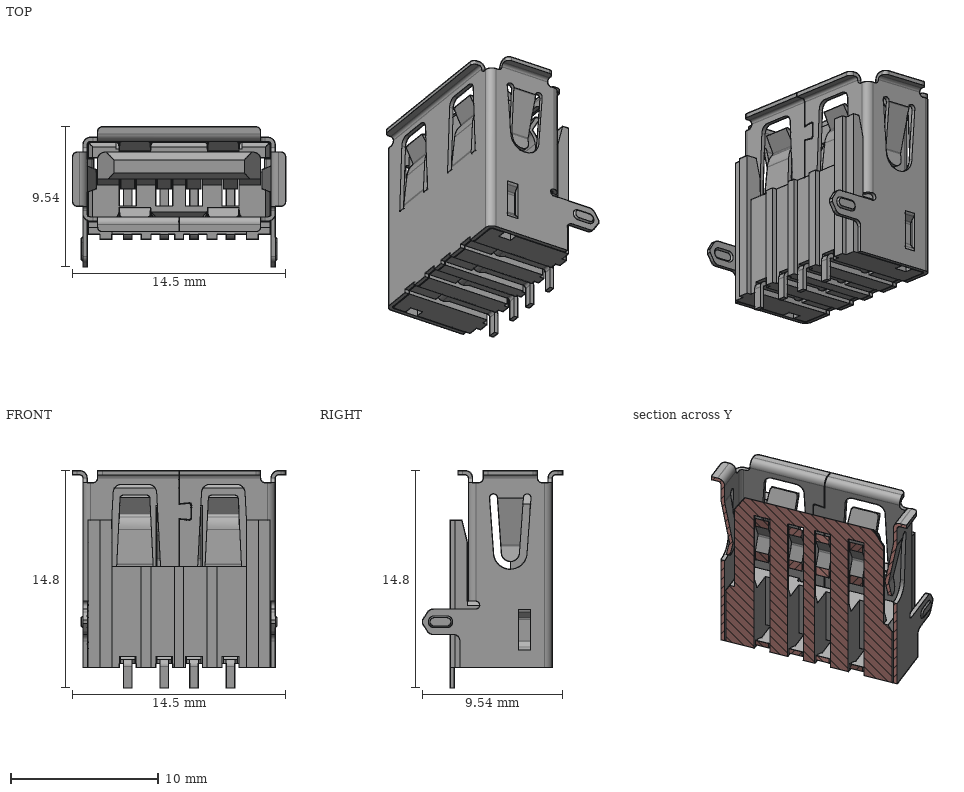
import cadquery as cq


SHEET = 0.3
SHELL_HALF_X = 6.54
SHELL_HALF_Y = 2.85
CORNER_R = 0.52
INNER_HALF_X = SHELL_HALF_X - SHEET
INNER_HALF_Y = SHELL_HALF_Y - SHEET
TOP_Z = 13.4

RIM_Z = 12.58
BEND_R = 0.37
FLANGE_ROOT_R = 0.3
FLANGE_CORNER_R = 0.33
FLANGE_REACH = 0.71
LONG_FLANGE_WIDTH = 11.1
SHORT_FLANGE_WIDTH = 3.7

SPRING_X = 3.0
SPRING_WINDOW_Z = (6.81, 12.46)
SPRING_WINDOW_HALF = (1.75, 1.45)
SPRING_WINDOW_R = 0.59
SPRING_HALF = (1.26, 1.0)
SPRING_ROOT_Z = 7.02
SPRING_KNEE_Z = 9.81
SPRING_LEAN = 0.2
SPRING_CREST_Z = 10.43
SPRING_DEPTH = 0.68
SPRING_TIP_Z = 11.72
SPRING_TIP_R = 0.22
SPRING_BEND_R = (0.59, 1.48, 0.18)

FLAP_HANG_Z = 11.55
FLAP_CREST_Z = 8.29
FLAP_DEPTH = 0.62
FLAP_END_DEPTH = 0.33
FLAP_END_Z = 7.21
FLAP_HALF = (0.89, 0.62)
FLAP_GAP = 0.52
FLAP_BEND_R = (SHEET, SHEET)

LANCE_Y = 0.98
LANCE_WIDTH = 0.81
LANCE_Z = (1.2, 3.94)
LANCE_DEPTH = 0.45
LANCE_LAND = 0.06
LANCE_RAMP = 0.53
LANCE_BEND_R = (0.16, 0.37, 0.16, 0.16)

FRONT_WALL_Z = 4.51
LUG_Z = (2.23, 3.98)
LUG_TIP_Y = -5.98
LUG_TIP_HALF = 0.12
LUG_BEVEL_Y = -5.62
LUG_BEVEL_HALF = 0.68
LUG_SHOULDER_Y = -5.25
LUG_SHOULDER_R = 0.52
LUG_ROOT_R = 0.41
SIDE_FRONT_Y = -3.43
RELIEF_Y = -2.09
DIMPLE_Y = -4.75
DIMPLE_LENGTH = 1.66
DIMPLE_HEIGHT = 0.8
DIMPLE_DEPTH = 0.12
DIMPLE_TAPER = 45.0

SEAM_GAP = 0.05
SEAM_TAB_Z = 10.61
SEAM_TAB_LENGTH = 0.83
SEAM_TAB_R = 0.15
SEAM_TAB_HALF = (0.5, 0.59)

FIT_GAP = 0.06
BASE_HALF_X = INNER_HALF_X - FIT_GAP
BASE_BACK_Y = INNER_HALF_Y - FIT_GAP
FLOOR_Z = 4.74
FLOOR_CHAMFER = 0.31
FLOOR_CHAMFER_Z = 0.52
FRONT_BEVEL_HALF = (1.6, 1.88)
BACK_RELIEF_X = (1.91, 4.29)
BACK_RELIEF_DEPTH = 0.46

TONGUE_HALF_X = 5.55
TONGUE_BACK_Y = 1.84
TONGUE_TOP_Z = 12.8
TONGUE_CORNER_R = 0.52
TONGUE_FRONT_BEVEL = (0.41, 0.58)
TONGUE_BACK_BEVEL = (0.52, 0.77)
TONGUE_END_BEVEL = (1.11, 1.69)
TONGUE_FOOT = (0.38, 0.89)

PLATE_HALF_X = BASE_HALF_X
PLATE_Y = (-3.76, -2.92)
PLATE_TOP_Z = 6.88
TOWER_INNER_X = 4.57
TOWER_TOP_Z = 10.02
TOWER_SLOPE_Z = 8.5
TOWER_TOP_BACK_Y = -3.29
RIB_FRONT_Y = -4.1
RIB_SPANS = ((-2.59, -1.9), (-0.31, 0.31), (1.9, 2.59))
TOWER_RIB_OUTER_X = 5.39

LANCE_CHANNEL_WIDTH = 0.95

OUTER_PIN_X = 3.5
INNER_PIN_X = 1.0
PIN_X = (-OUTER_PIN_X, -INNER_PIN_X, INNER_PIN_X, OUTER_PIN_X)
PIN_THICK = 0.3
CONTACT_WIDTH = 0.98
LEG_WIDTH = 0.59
OVERALL_HEIGHT = 14.8
LEG_BOTTOM_Z = TOP_Z - OVERALL_HEIGHT
LEG_Y = RIB_FRONT_Y + PIN_THICK / 2
PIN_RUN_Z = 0.41
PIN_BEND_R = 0.35
BLADE_Y = 0.24
CONTACT_TIP_Z = 10.8
CONTACT_CREST_Y = -0.56
CONTACT_CREST_Z = 9.18
CONTACT_ROOT_Z = 7.4
NECK_Y = (-0.3, -0.59)
SLOT_WIDTH = 1.14
SLOT_FRONT_Y = -1.82
SLOT_BACK_Y = BLADE_Y + PIN_THICK / 2
SLOT_TOP_Z = 11.01
NOTCH_Z = 0.74
CLEARANCE_Z = PIN_RUN_Z - PIN_THICK / 2


def box(x, y, z):
    """Block given by its (low, high) limits along each axis."""
    size = [limits[1] - limits[0] for limits in (x, y, z)]
    return cq.Workplane("XY").box(*size, centered=False).translate((x[0], y[0], z[0]))


def prism_x(points, x):
    """Polygon of (y, z) points extruded between two X limits."""
    return cq.Workplane("YZ").polyline(points).close().extrude(x[1] - x[0]).translate((x[0], 0, 0))


def prism_y(points, y):
    """Polygon of (x, z) points extruded between two Y limits."""
    return cq.Workplane("XZ").polyline(points).close().extrude(y[0] - y[1]).translate((0, y[0], 0))


def bent_strip(points, width, thickness, radii):
    """Strip of sheet along a (y, z) centreline, centred on X = 0, with one radius for each bend."""
    path = cq.Wire.makePolygon([cq.Vector(0, y, z) for y, z in points])
    for bend in range(len(radii), 0, -1):
        path = path.fillet(radii[bend - 1], [path.Vertices()[bend]])
    start = cq.Plane(origin=path.startPoint(), xDir=(1, 0, 0), normal=path.tangentAt(0))
    return cq.Workplane(start).rect(width, thickness).sweep(cq.Workplane(path))


def mirrored_x(body):
    return body.union(body.mirror("YZ"))


def turn(body, angle):
    return body.rotate((0, 0, 0), (0, 0, 1), angle)



def tube():
    outer = cq.Workplane("XY").rect(2 * SHELL_HALF_X, 2 * SHELL_HALF_Y).extrude(RIM_Z)
    inner = cq.Workplane("XY").rect(2 * INNER_HALF_X, 2 * INNER_HALF_Y).extrude(RIM_Z)
    inner_r = CORNER_R - SHEET
    return outer.edges("|Z").fillet(CORNER_R).cut(inner.edges("|Z").fillet(inner_r))


def flange(width, wall_y):
    """Flange on the -Y wall: a riser with hollow root fillets, then an outward bend."""
    half = width / 2
    bend_z = RIM_Z + FLANGE_ROOT_R
    riser = (
        cq.Workplane("XZ", origin=(0, -wall_y + SHEET, 0))
        .moveTo(-half - FLANGE_ROOT_R, RIM_Z)
        .radiusArc((-half, bend_z), -FLANGE_ROOT_R)
        .lineTo(half, bend_z)
        .radiusArc((half + FLANGE_ROOT_R, RIM_Z), -FLANGE_ROOT_R)
        .close()
        .extrude(SHEET)
    )
    mid_y = -wall_y + SHEET / 2
    mid_z = TOP_Z - SHEET / 2
    centreline = [(mid_y, RIM_Z), (mid_y, mid_z), (-wall_y - FLANGE_REACH, mid_z)]
    lip = bent_strip(centreline, width, SHEET, [BEND_R])
    lip = lip.faces("<Y").edges("|Z").fillet(FLANGE_CORNER_R)
    return riser.union(lip)


def taper(half_widths, z_limits):
    """Symmetric trapezoid of (across, z) points from its bottom and top half widths."""
    bottom, top = half_widths
    low, high = z_limits
    return [(-bottom, low), (bottom, low), (top, high), (-top, high)]


def spring_window():
    opening = prism_y(taper(SPRING_WINDOW_HALF, SPRING_WINDOW_Z), (-SHELL_HALF_Y, -INNER_HALF_Y))
    return opening.edges("|Y and >Z").fillet(SPRING_WINDOW_R)


def spring():
    """Spring of the -Y wall: leans inward from its root, then turns back out at the tip."""
    wall_mid = -SHELL_HALF_Y + SHEET / 2
    root_z = SPRING_WINDOW_Z[0] - SHEET
    centreline = [
        (wall_mid, root_z),
        (wall_mid, SPRING_ROOT_Z),
        (wall_mid + SPRING_LEAN, SPRING_KNEE_Z),
        (wall_mid + SPRING_DEPTH, SPRING_CREST_Z),
        (wall_mid, SPRING_TIP_Z - SHEET / 4),
    ]
    strip = bent_strip(centreline, 2 * SPRING_HALF[0], SHEET, SPRING_BEND_R)
    outline = prism_y(taper(SPRING_HALF, (root_z, SPRING_TIP_Z)), (-SHELL_HALF_Y - SHEET, 0))
    return strip.intersect(outline.edges("|Y and >Z").fillet(SPRING_TIP_R))


def flap_outline(top_half, end_half, top_z, end_z):
    """Tongue outline in (y, z) with a round lower end."""
    centre_z = end_z + end_half
    return (
        cq.Workplane("YZ")
        .moveTo(-top_half, top_z)
        .lineTo(-end_half, centre_z)
        .threePointArc((0, end_z), (end_half, centre_z))
        .lineTo(top_half, top_z)
        .close()
    )


def flap_window():
    """U-shaped opening around the flap with round upper ends, cut through the +X wall."""
    depth = 2 * SHEET
    outer = flap_outline(
        FLAP_HALF[0] + FLAP_GAP, FLAP_HALF[1] + FLAP_GAP, FLAP_HANG_Z, FLAP_END_Z - FLAP_GAP
    ).extrude(depth)
    ends = (
        cq.Workplane("YZ")
        .pushPoints([(side * (FLAP_HALF[0] + FLAP_GAP / 2), FLAP_HANG_Z) for side in (-1, 1)])
        .circle(FLAP_GAP / 2)
        .extrude(depth)
    )
    return outer.union(ends).translate((INNER_HALF_X - SHEET / 2, 0, 0))


def flap():
    """Flap of the +X wall: hangs inward from its top edge and kicks back out at the end."""
    wall_mid = -SHELL_HALF_X + SHEET / 2
    centreline = [
        (wall_mid, FLAP_HANG_Z + SHEET),
        (wall_mid, FLAP_HANG_Z),
        (wall_mid + FLAP_DEPTH, FLAP_CREST_Z),
        (wall_mid + FLAP_END_DEPTH, FLAP_END_Z - SHEET),
    ]
    strip = turn(bent_strip(centreline, 2 * FLAP_HALF[0], SHEET, FLAP_BEND_R), 90)
    outline = flap_outline(FLAP_HALF[0], FLAP_HALF[1], FLAP_HANG_Z, FLAP_END_Z)
    below = outline.extrude(SHELL_HALF_X)
    root = box((0, SHELL_HALF_X), (-FLAP_HALF[0], FLAP_HALF[0]), (FLAP_HANG_Z, FLAP_HANG_Z + SHEET))
    return strip.intersect(below.union(root))


def lance_window():
    half = LANCE_WIDTH / 2
    return box((INNER_HALF_X, SHELL_HALF_X), (LANCE_Y - half, LANCE_Y + half), LANCE_Z)


def lance():
    """Bridge pressed inward from the +X wall, joined to it above and below the opening."""
    wall_mid = -SHELL_HALF_X + SHEET / 2
    low, high = LANCE_Z
    deep = wall_mid + LANCE_DEPTH
    overlap = SHEET / 2
    centreline = [
        (wall_mid, high + overlap),
        (wall_mid, high - LANCE_LAND),
        (deep, high - LANCE_RAMP),
        (deep, low + LANCE_RAMP),
        (wall_mid, low + LANCE_LAND),
        (wall_mid, low - overlap),
    ]
    strip = bent_strip(centreline, LANCE_WIDTH, SHEET, LANCE_BEND_R)
    return turn(strip, 90).translate((0, LANCE_Y, 0))


def side_skirt():
    """Forward extension of the +X wall below the front wall, with the mounting lug."""
    low, high = LUG_Z
    mid_z = (low + high) / 2
    return (
        cq.Workplane("YZ", origin=(INNER_HALF_X, 0, 0))
        .moveTo(RELIEF_Y, 0)
        .lineTo(SIDE_FRONT_Y, 0)
        .lineTo(SIDE_FRONT_Y, low - LUG_ROOT_R)
        .radiusArc((SIDE_FRONT_Y - LUG_ROOT_R, low), -LUG_ROOT_R)
        .lineTo(LUG_SHOULDER_Y, low)
        .radiusArc((LUG_BEVEL_Y, mid_z - LUG_BEVEL_HALF), LUG_SHOULDER_R)
        .lineTo(LUG_TIP_Y, mid_z - LUG_TIP_HALF)
        .lineTo(LUG_TIP_Y, mid_z + LUG_TIP_HALF)
        .lineTo(LUG_BEVEL_Y, mid_z + LUG_BEVEL_HALF)
        .radiusArc((LUG_SHOULDER_Y, high), LUG_SHOULDER_R)
        .lineTo(RELIEF_Y, high)
        .close()
        .extrude(SHEET)
    )


def dimple(x):
    """Tapered oblong that rises in +X from the given X."""
    return (
        cq.Workplane("YZ", origin=(x, DIMPLE_Y, sum(LUG_Z) / 2))
        .slot2D(DIMPLE_LENGTH, DIMPLE_HEIGHT)
        .extrude(DIMPLE_DEPTH, taper=DIMPLE_TAPER)
    )


def below_front_wall():
    """Space cleared under the front wall and its corners, with round relief ends."""
    relief_r = (FRONT_WALL_Z - LUG_Z[1]) / 2
    start_y = RELIEF_Y - relief_r
    x = (-SHELL_HALF_X, SHELL_HALF_X)
    space = box(x, (-SHELL_HALF_Y, start_y), (0, FRONT_WALL_Z))
    end = cq.Workplane("YZ", origin=(-SHELL_HALF_X, start_y, LUG_Z[1] + relief_r)).circle(relief_r)
    return space.union(end.extrude(2 * SHELL_HALF_X))


def seam_tab(growth):
    """Dovetail tab of the front wall, enlarged on every side by the growth."""
    neck, end = SEAM_TAB_HALF
    tip_x = SEAM_TAB_LENGTH + growth
    outline = [
        (-SEAM_GAP / 2, SEAM_TAB_Z - neck - growth),
        (tip_x, SEAM_TAB_Z - end - growth),
        (tip_x, SEAM_TAB_Z + end + growth),
        (-SEAM_GAP / 2, SEAM_TAB_Z + neck + growth),
    ]
    return prism_y(outline, (-SHELL_HALF_Y, -INNER_HALF_Y)).edges("|Y and >X").fillet(SEAM_TAB_R)


def seam():
    """Narrow gap that runs down the front wall and around the interlocking tab."""
    half = SEAM_GAP / 2
    x = (-half, half)
    y = (-SHELL_HALF_Y - FLANGE_REACH, -INNER_HALF_Y)
    lower = box(x, y, (FRONT_WALL_Z, SEAM_TAB_Z - SEAM_TAB_HALF[0]))
    upper = box(x, y, (SEAM_TAB_Z + SEAM_TAB_HALF[0], TOP_Z))
    return seam_tab(half).cut(seam_tab(-half)).union(lower).union(upper)


def make_shell():
    body = tube().cut(below_front_wall())

    long_flange = flange(LONG_FLANGE_WIDTH, SHELL_HALF_Y)
    short_flange = flange(SHORT_FLANGE_WIDTH, SHELL_HALF_X)
    for angle in (0, 180):
        body = body.union(turn(long_flange, angle)).union(turn(short_flange, angle + 90))

        for x in (-SPRING_X, SPRING_X):
            body = body.cut(turn(spring_window().translate((x, 0, 0)), angle))
            body = body.union(turn(spring().translate((x, 0, 0)), angle))

    skirt = side_skirt().union(dimple(SHELL_HALF_X)).cut(dimple(INNER_HALF_X))
    body = body.union(mirrored_x(skirt))
    body = body.cut(mirrored_x(flap_window().union(lance_window())))
    body = body.union(mirrored_x(flap())).union(mirrored_x(lance()))
    for x in PIN_X:
        body = body.cut(pin_clearance(x))
    return body.cut(seam())



def pin_clearance(x):
    """Shallow channel below a pin, open from front to back."""
    half = SLOT_WIDTH / 2
    return box((x - half, x + half), (RIB_FRONT_Y, SHELL_HALF_Y), (0, CLEARANCE_Z))


def pin_slot(x):
    """Room for one pin: upright slot, front notch and the channel below."""
    half = SLOT_WIDTH / 2
    limits = (x - half, x + half)
    upright = box(limits, (SLOT_FRONT_Y, SLOT_BACK_Y), (0, SLOT_TOP_Z))
    notch = box(limits, (RIB_FRONT_Y, SLOT_FRONT_Y), (0, NOTCH_Z))
    return upright.union(notch).union(pin_clearance(x))



def bevel_wedge(x, face_y, depth):
    """Triangular cutter that bevels the floor edge at a Y face; depth points into the housing."""
    low_z = FLOOR_Z - FLOOR_CHAMFER_Z
    return prism_x([(face_y, FLOOR_Z), (face_y, low_z), (face_y + depth, FLOOR_Z)], x)


def base():
    """Block inside the shell, with its floor edge bevelled, and a shelf under the front wall."""
    low_z = FLOOR_Z - FLOOR_CHAMFER_Z
    inset_x = BASE_HALF_X - FLOOR_CHAMFER
    section = [
        (-BASE_HALF_X, 0),
        (BASE_HALF_X, 0),
        (BASE_HALF_X, low_z),
        (inset_x, FLOOR_Z),
        (-inset_x, FLOOR_Z),
        (-BASE_HALF_X, low_z),
    ]
    body = prism_y(section, (PLATE_Y[1], BASE_BACK_Y))
    body = body.cut(
        box((-BASE_HALF_X, BASE_HALF_X), (PLATE_Y[1], -INNER_HALF_Y), (FRONT_WALL_Z, FLOOR_Z))
    )
    body = body.edges("|Z and >Y").fillet(CORNER_R - SHEET)
    body = body.cut(bevel_wedge((-BASE_HALF_X, BASE_HALF_X), BASE_BACK_Y, -FLOOR_CHAMFER))

    relief = bevel_wedge(BACK_RELIEF_X, BASE_BACK_Y, -BACK_RELIEF_DEPTH)
    body = body.cut(mirrored_x(relief))

    middle = (-FRONT_BEVEL_HALF[1], FRONT_BEVEL_HALF[1])
    front = bevel_wedge(middle, -INNER_HALF_Y, FLOOR_CHAMFER)
    ends = prism_y(taper(FRONT_BEVEL_HALF, (low_z, FLOOR_Z)), (-INNER_HALF_Y, 0))
    return body.cut(front.intersect(ends))


def tongue():
    """Upright tongue with a bevelled top and rounded back corners; its front face is at Y = 0."""
    front_in, front_down = TONGUE_FRONT_BEVEL
    back_in, back_down = TONGUE_BACK_BEVEL
    end_in, end_down = TONGUE_END_BEVEL
    foot_out, foot_up = TONGUE_FOOT
    profile = [
        (-foot_out, FLOOR_Z),
        (0, FLOOR_Z + foot_up),
        (0, TONGUE_TOP_Z - front_down),
        (front_in, TONGUE_TOP_Z),
        (TONGUE_BACK_Y - back_in, TONGUE_TOP_Z),
        (TONGUE_BACK_Y, TONGUE_TOP_Z - back_down),
        (TONGUE_BACK_Y, FLOOR_Z),
    ]
    body = prism_x(profile, (-TONGUE_HALF_X, TONGUE_HALF_X))
    ends = [
        (-TONGUE_HALF_X, FLOOR_Z),
        (TONGUE_HALF_X, FLOOR_Z),
        (TONGUE_HALF_X, TONGUE_TOP_Z - end_down),
        (TONGUE_HALF_X - end_in, TONGUE_TOP_Z),
        (-TONGUE_HALF_X + end_in, TONGUE_TOP_Z),
        (-TONGUE_HALF_X, TONGUE_TOP_Z - end_down),
    ]
    sides = prism_y(ends, (-foot_out, TONGUE_BACK_Y))
    sides = sides.edges("|Z and >Y").fillet(TONGUE_CORNER_R)
    return body.intersect(sides)


def front_plate():
    """Ribbed plate in front of the shell with a taller tower at each end."""
    low = box((-PLATE_HALF_X, PLATE_HALF_X), PLATE_Y, (0, PLATE_TOP_Z))
    for span in RIB_SPANS:
        low = low.union(box(span, (RIB_FRONT_Y, PLATE_Y[0]), (0, PLATE_TOP_Z)))
    tower_profile = [
        (PLATE_Y[0], 0),
        (PLATE_Y[0], TOWER_TOP_Z),
        (TOWER_TOP_BACK_Y, TOWER_TOP_Z),
        (PLATE_Y[1], TOWER_SLOPE_Z),
        (PLATE_Y[1], 0),
    ]
    tower = prism_x(tower_profile, (TOWER_INNER_X, PLATE_HALF_X))
    rib = box((TOWER_INNER_X, TOWER_RIB_OUTER_X), (RIB_FRONT_Y, PLATE_Y[0]), (0, TOWER_TOP_Z))
    return low.union(mirrored_x(tower.union(rib)))


def lance_channel():
    half = LANCE_CHANNEL_WIDTH / 2
    return box((TONGUE_HALF_X, INNER_HALF_X), (LANCE_Y - half, LANCE_Y + half), (0, FLOOR_Z))


def make_housing():
    body = base().union(tongue()).union(front_plate()).cut(mirrored_x(lance_channel()))
    for x in PIN_X:
        body = body.cut(pin_slot(x))
    return body



def make_pin(x):
    """Contact: sprung bulge, upright blade, bend, tapered neck and solder leg."""
    contact = [
        (BLADE_Y, CONTACT_TIP_Z),
        (CONTACT_CREST_Y, CONTACT_CREST_Z),
        (BLADE_Y, CONTACT_ROOT_Z),
        (BLADE_Y, PIN_RUN_Z),
        (NECK_Y[0], PIN_RUN_Z),
    ]
    blade = bent_strip(contact, CONTACT_WIDTH, PIN_THICK, 3 * [PIN_BEND_R])
    neck = (
        cq.Workplane("XY", origin=(0, 0, PIN_RUN_Z - PIN_THICK / 2))
        .polyline(
            [
                (-CONTACT_WIDTH / 2, NECK_Y[0]),
                (CONTACT_WIDTH / 2, NECK_Y[0]),
                (LEG_WIDTH / 2, NECK_Y[1]),
                (-LEG_WIDTH / 2, NECK_Y[1]),
            ]
        )
        .close()
        .extrude(PIN_THICK)
    )
    tail = [(NECK_Y[1], PIN_RUN_Z), (LEG_Y, PIN_RUN_Z), (LEG_Y, LEG_BOTTOM_Z)]
    leg = bent_strip(tail, LEG_WIDTH, PIN_THICK, [PIN_BEND_R])
    return blade.union(neck).union(leg).translate((x, 0, 0))


shell = make_shell()
housing = make_housing()
pins = [make_pin(x) for x in PIN_X]

bodies = [shell, housing, *pins]
result = cq.Compound.makeCompound([body.solids().val() for body in bodies])